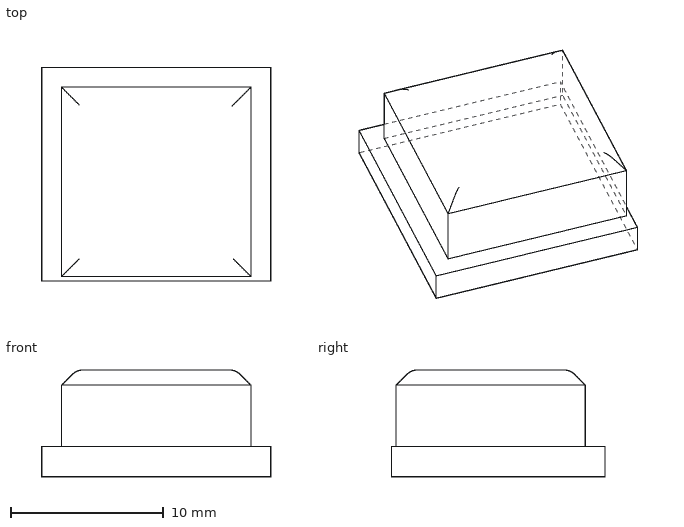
import cadquery as cq

base_length = 15.0
base_width = 14.0
base_height = 2.0

total_height = 7.0
cap_side = 12.4
cap_front_margin = 0.3
cap_height = total_height - base_height
cap_center_y = -base_width / 2 + cap_front_margin + cap_side / 2

rim_chamfer = 1.0
rim_radius = 1.0


def make_base():
    return cq.Workplane("XY").box(base_length, base_width, base_height, centered=(True, True, False))


def make_cap():
    block = (
        cq.Workplane("XY", origin=(0, cap_center_y, base_height))
        .rect(cap_side, cap_side)
        .extrude(cap_height)
    )
    bevelled = block.faces(">Z").chamfer(rim_chamfer)
    return bevelled.faces(">Z").edges().fillet(rim_radius)


result = make_base().union(make_cap())